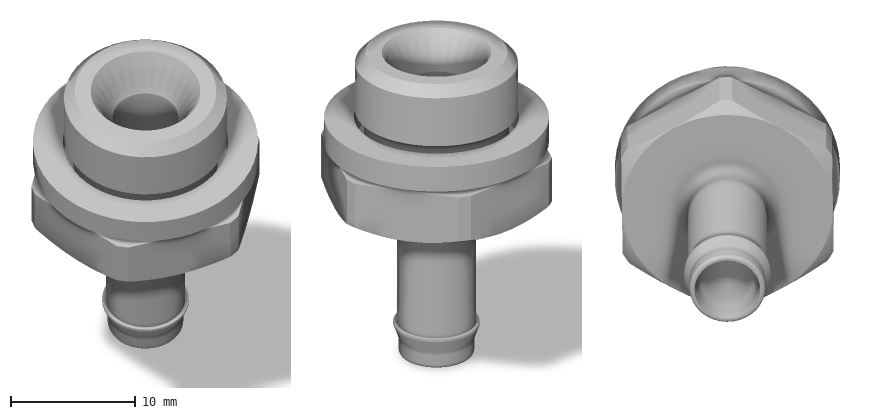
import cadquery as cq
import math

total_height = 27.0
hex_bottom = 14.05
hex_top = 18.6
flange_bottom = 18.98
flange_top = 21.2
plug_bottom = 21.82

tail_radius = 6.4 / 2
nose_radius = 6.1 / 2
barb_radius = 7.0 / 2
barb_top = 2.84
barb_land = 0.22
barb_cone_bottom = 1.38
barb_root_fillet = 0.49
nose_fillet = 0.3
tail_root_fillet = 1.03

hex_across_flats = 17.0
hex_corner_radius = 19.1 / 2
hex_turn_degrees = 30
bevel_angle = math.radians(30)

flange_radius = 18.15 / 2
flange_hole_radius = 13.3 / 2
plug_radius = 13.15 / 2
plug_chamfer = 0.86
undercut_radius = 5.85
undercut_arc_radius = 0.7
undercut_flank_angle = math.radians(30)

bore_radius = 5.3 / 2
mouth_radius = 8.83 / 2
mouth_half_angle = math.radians(30)


def revolve_profile(profile):
    """Revolve a profile drawn as (radius, height) about the Z axis."""
    return profile.close().revolve(360, (0, 0, 0), (0, 1, 0))


def make_tail():
    tail_profile = (
        cq.Workplane("XZ")
        .lineTo(nose_radius, 0)
        .lineTo(nose_radius, barb_cone_bottom)
        .lineTo(barb_radius, barb_top - barb_land)
        .lineTo(barb_radius, barb_top)
        .lineTo(tail_radius, barb_top)
        .lineTo(tail_radius, hex_bottom - tail_root_fillet)
        .radiusArc((tail_radius + tail_root_fillet, hex_bottom), tail_root_fillet)
        .lineTo(0, hex_bottom)
    )
    tail = revolve_profile(tail_profile)
    tail = tail.faces("<Z").edges().fillet(nose_fillet)
    band = 0.03
    barb_root = cq.selectors.BoxSelector(
        (-barb_radius, -barb_radius, barb_cone_bottom - band),
        (barb_radius, barb_radius, barb_cone_bottom + band),
        boundingbox=True,
    )
    return tail.edges("%CIRCLE").edges(barb_root).fillet(barb_root_fillet)


def make_hexagon():
    across_corners = hex_across_flats / math.cos(math.pi / 6)
    flat_radius = hex_across_flats / 2
    bevel_height = (hex_corner_radius - flat_radius) * math.tan(bevel_angle)
    prism = (
        cq.Workplane("XY", origin=(0, 0, hex_bottom))
        .transformed(rotate=(0, 0, hex_turn_degrees))
        .polygon(6, across_corners)
        .extrude(hex_top - hex_bottom)
    )
    turned_blank = revolve_profile(
        cq.Workplane("XZ")
        .moveTo(0, hex_bottom)
        .lineTo(flat_radius, hex_bottom)
        .lineTo(hex_corner_radius, hex_bottom + bevel_height)
        .lineTo(hex_corner_radius, hex_top)
        .lineTo(0, hex_top)
    )
    return prism.intersect(turned_blank)


def make_flange():
    spacer = (
        cq.Workplane("XY", origin=(0, 0, hex_top))
        .circle(hex_across_flats / 2)
        .extrude(flange_bottom - hex_top)
    )
    ring = (
        cq.Workplane("XY", origin=(0, 0, flange_bottom))
        .circle(flange_radius)
        .circle(flange_hole_radius)
        .extrude(flange_top - flange_bottom)
    )
    return spacer.union(ring)


def make_plug():
    flank_radius = undercut_radius + undercut_arc_radius * (1 - math.sin(undercut_flank_angle))
    flank_height = plug_bottom - (plug_radius - flank_radius) * math.tan(undercut_flank_angle)
    arc_start = flank_height - undercut_arc_radius * math.cos(undercut_flank_angle)
    return revolve_profile(
        cq.Workplane("XZ")
        .moveTo(0, flange_bottom)
        .lineTo(undercut_radius, flange_bottom)
        .lineTo(undercut_radius, arc_start)
        .radiusArc((flank_radius, flank_height), undercut_arc_radius)
        .lineTo(plug_radius, plug_bottom)
        .lineTo(plug_radius, total_height - plug_chamfer)
        .lineTo(plug_radius - plug_chamfer, total_height)
        .lineTo(0, total_height)
    )


def make_bore():
    mouth_depth = (mouth_radius - bore_radius) / math.tan(mouth_half_angle)
    return revolve_profile(
        cq.Workplane("XZ")
        .lineTo(bore_radius, 0)
        .lineTo(bore_radius, total_height - mouth_depth)
        .lineTo(mouth_radius, total_height)
        .lineTo(0, total_height)
    )


body = make_tail().union(make_hexagon()).union(make_flange()).union(make_plug())
result = body.cut(make_bore())